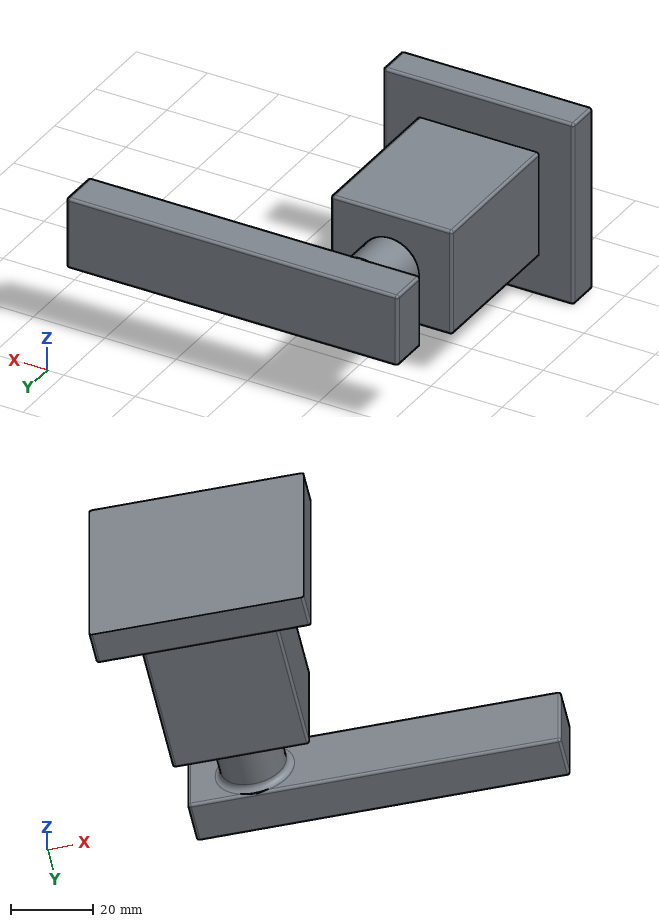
import cadquery as cq

plate_width = 53.4
plate_height = 51.5
plate_thickness = 8.8

body_width = 33.9
body_height = 29.5
body_length = 42.5

neck_diameter = 13.4
neck_length = 0.8
stem_diameter = 16.5
stem_length = 14.1
flare_radius = 1.6

overall_width = 102.9
lever_start = 10.0
lever_length = overall_width - lever_start
lever_height = 20.0
lever_thickness = 11.2

edge_radius = 0.7

axis_x = plate_width / 2
body_start = plate_thickness
neck_start = body_start + body_length
stem_start = neck_start + neck_length
lever_front = stem_start + stem_length


def block(left, front, width, depth, height):
    """Box with its left side at X = left and front at Y = front, centred on Z = 0."""
    return (
        cq.Workplane("XY")
        .box(width, depth, height, centered=(False, False, True))
        .translate((left, front, 0))
    )


def make_plate():
    """Plate with rounded corners and a rounded rim, sharp on the wall face."""
    plate = block(0, 0, plate_width, plate_thickness, plate_height)
    return plate.edges("|Y or >Y").fillet(edge_radius)


def make_body():
    """Body with rounded sides and end, sharp where it meets the plate."""
    body = block(axis_x - body_width / 2, body_start, body_width, body_length, body_height)
    return body.edges("|Y or >Y").fillet(edge_radius)


def make_lever():
    """Lever bar with every edge rounded."""
    lever = block(lever_start, lever_front, lever_length, lever_thickness, lever_height)
    return lever.edges().fillet(edge_radius)


def make_stem():
    """Turned neck and stem, flaring in a concave arc into the lever."""
    neck_radius = neck_diameter / 2
    stem_radius = stem_diameter / 2
    flare_start = lever_front - flare_radius
    flare_outer = stem_radius + flare_radius
    stem_end = lever_front + edge_radius
    profile = (
        cq.Workplane("XY")
        .moveTo(0, neck_start)
        .lineTo(neck_radius, neck_start)
        .lineTo(neck_radius, stem_start)
        .lineTo(stem_radius, stem_start)
        .lineTo(stem_radius, flare_start)
        .radiusArc((flare_outer, lever_front), flare_radius)
        .lineTo(flare_outer, stem_end)
        .lineTo(0, stem_end)
        .close()
    )
    stem = profile.revolve(360, (0, 0, 0), (0, 1, 0))
    return stem.translate((axis_x, 0, 0))


result = make_plate().union(make_body()).union(make_stem()).union(make_lever())